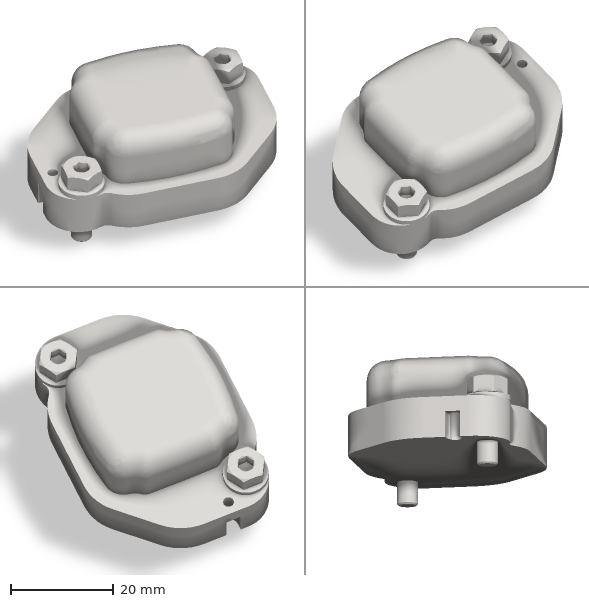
import cadquery as cq
import math

LENGTH = 50.0
WIDTH = 36.0
BASE_HEIGHT = 8.1
SIDE_CORNER_R = 10.0
END_CORNER_R = 11.4
EAR_R = 6.75
EAR_X = 9.45
NOTCH_R = 2.0

BOLT_X = 11.8
BOLT_Y = 18.4
BOLT_PLACES = [(-BOLT_X, BOLT_Y), (BOLT_X, -BOLT_Y)]

DOME_TOP = 18.8
DOME_WIDTH = 29.9
DOME_LENGTH = 29.2
DOME_RIDGE = 0.15
DOME_SIDE_R = 55.0
DOME_CLEARANCE_R = 5.55
DOME_CORNER_R = 4.1
DOME_SHOULDER_R = 2.7
DOME_ROOF_R = 4.0

VENT_D = 2.1
VENT_X = 6.25
VENT_Y = -22.5
SLOT_WIDTH = 3.0
SLOT_HEIGHT = 5.1
SLOT_ROUND_Y = -23.55

SHANK_D = 4.1
SHANK_REACH = 4.6
SHANK_CHAMFER = 0.3
FLANGE_R = 4.5
FLANGE_RIM = 1.0
FLANGE_TOP_R = 3.5
FLANGE_HEIGHT = 1.25
HEAD_ACROSS_FLATS = 7.0
HEAD_TOP = 4.6
HEAD_FACE_R = 3.45
HEAD_CHAMFER_ANGLE = 30.0
SOCKET_ACROSS_FLATS = 3.0
SOCKET_MOUTH_R = 1.75
SOCKET_DEPTH = 2.5
SOCKET_TIP_ANGLE = 30.0

HEX_CORNER_RATIO = 2 / math.sqrt(3)


def step_toward(start, target, distance):
    """Point at the given distance from start in the direction of target."""
    ratio = distance / math.dist(start, target)
    return (start[0] + ratio * (target[0] - start[0]), start[1] + ratio * (target[1] - start[1]))


def notch_center(ear, corner):
    """Centre of the concave blend that touches both the ear and the side corner from outside."""
    to_ear = EAR_R + NOTCH_R
    to_corner = SIDE_CORNER_R + NOTCH_R
    spacing = math.dist(ear, corner)
    cosine = (to_ear**2 + spacing**2 - to_corner**2) / (2 * to_ear * spacing)
    angle = math.atan2(corner[1] - ear[1], corner[0] - ear[0]) - math.acos(cosine)
    return (ear[0] + to_ear * math.cos(angle), ear[1] + to_ear * math.sin(angle))


def turned(point, turn):
    """The point itself for turn 1, or turned 180 degrees about the origin for turn -1."""
    return (turn * point[0], turn * point[1])


def base_outline():
    """Closed outline of the base plate, clockwise, in two halves turned 180 degrees."""
    half_width = WIDTH / 2
    half_length = LENGTH / 2
    side_x = half_width - SIDE_CORNER_R
    end_y = half_length - END_CORNER_R
    side_y = end_y - side_x + math.sqrt(2) * (END_CORNER_R - SIDE_CORNER_R)

    corner = (-side_x, side_y)
    ear = (-EAR_X, half_length - EAR_R)
    notch = notch_center(ear, corner)
    corner_end = step_toward(corner, notch, SIDE_CORNER_R)
    ear_start = step_toward(ear, notch, EAR_R)
    slant = math.sqrt(0.5)
    slant_start = (slant * END_CORNER_R, end_y + slant * END_CORNER_R)
    slant_end = (side_x + slant * SIDE_CORNER_R, side_y + slant * SIDE_CORNER_R)

    outline = cq.Workplane("XY").moveTo(-half_width, -side_y)
    for turn in (1, -1):
        outline = (
            outline.lineTo(*turned((-half_width, side_y), turn))
            .radiusArc(turned(corner_end, turn), SIDE_CORNER_R)
            .radiusArc(turned(ear_start, turn), -NOTCH_R)
            .radiusArc(turned((-EAR_X, half_length), turn), EAR_R)
            .lineTo(*turned((0, half_length), turn))
            .radiusArc(turned(slant_start, turn), END_CORNER_R)
            .lineTo(*turned(slant_end, turn))
            .radiusArc(turned((half_width, side_y), turn), SIDE_CORNER_R)
        )
    return outline.close()


def upright_edges(body, x_min, x_max):
    """Vertical edges whose distance from the YZ plane lies between the two limits."""
    edges = body.edges("|Z").vals()
    return body.newObject([edge for edge in edges if x_min < abs(edge.Center().x) < x_max])


def make_dome():
    half_width = DOME_WIDTH / 2
    ridge_y = DOME_LENGTH / 2
    end_y = ridge_y - DOME_RIDGE
    dome = (
        cq.Workplane("XY")
        .polyline([
            (-half_width, -end_y),
            (0, -ridge_y),
            (half_width, -end_y),
            (half_width, end_y),
            (0, ridge_y),
            (-half_width, end_y),
        ])
        .close()
        .extrude(DOME_TOP)
    )
    bulge_x = DOME_SIDE_R - half_width
    for x in (-bulge_x, bulge_x):
        dome = dome.intersect(cq.Workplane("XY").center(x, 0).circle(DOME_SIDE_R).extrude(DOME_TOP))
    scallops = (
        cq.Workplane("XY")
        .rect(2 * BOLT_X, 2 * BOLT_Y, forConstruction=True)
        .vertices()
        .circle(DOME_CLEARANCE_R)
        .extrude(DOME_TOP)
    )
    dome = dome.cut(scallops)
    shoulder_min = (BOLT_X - DOME_CLEARANCE_R) / 2
    shoulder_max = BOLT_X - DOME_CLEARANCE_R / 2
    dome = upright_edges(dome, shoulder_max, half_width).fillet(DOME_CORNER_R)
    dome = upright_edges(dome, shoulder_min, shoulder_max).fillet(DOME_SHOULDER_R)
    return dome.faces(">Z").edges().fillet(DOME_ROOF_R)


def make_vent():
    """Vent hole and the round-ended slot that opens through the -Y end face."""
    hole = cq.Workplane("XY").center(VENT_X, VENT_Y).circle(VENT_D / 2).extrude(BASE_HEIGHT)
    slot = (
        cq.Workplane("XY")
        .moveTo(VENT_X - SLOT_WIDTH / 2, -LENGTH / 2)
        .lineTo(VENT_X - SLOT_WIDTH / 2, SLOT_ROUND_Y)
        .threePointArc((VENT_X, SLOT_ROUND_Y + SLOT_WIDTH / 2), (VENT_X + SLOT_WIDTH / 2, SLOT_ROUND_Y))
        .lineTo(VENT_X + SLOT_WIDTH / 2, -LENGTH / 2)
        .close()
        .extrude(SLOT_HEIGHT)
    )
    return hole.union(slot)


def make_housing():
    base = base_outline().extrude(BASE_HEIGHT)
    bolt_holes = cq.Workplane("XY").pushPoints(BOLT_PLACES).circle(SHANK_D / 2).extrude(BASE_HEIGHT)
    return base.union(make_dome()).cut(bolt_holes).cut(make_vent())


def revolve_profile(points):
    """Turn a profile of (radius, height) points around the Z axis."""
    return cq.Workplane("XZ").polyline(points).close().revolve(360, (0, 0), (0, 1))


def make_shank_and_flange():
    shank_r = SHANK_D / 2
    bottom = -BASE_HEIGHT - SHANK_REACH
    return revolve_profile([
        (0, bottom),
        (shank_r - SHANK_CHAMFER, bottom),
        (shank_r, bottom + SHANK_CHAMFER),
        (shank_r, 0),
        (FLANGE_R, 0),
        (FLANGE_R, FLANGE_RIM),
        (FLANGE_TOP_R, FLANGE_HEIGHT),
        (0, FLANGE_HEIGHT),
    ])


def make_head():
    """Hexagon head with its corners chamfered to a cone at the top."""
    corner_r = HEAD_ACROSS_FLATS * HEX_CORNER_RATIO / 2
    chamfer_drop = (corner_r - HEAD_FACE_R) * math.tan(math.radians(HEAD_CHAMFER_ANGLE))
    hexagon = (
        cq.Workplane("XY")
        .workplane(offset=FLANGE_HEIGHT)
        .polygon(6, 2 * corner_r)
        .extrude(HEAD_TOP - FLANGE_HEIGHT)
    )
    chamfer_envelope = revolve_profile([
        (0, 0),
        (corner_r, 0),
        (corner_r, HEAD_TOP - chamfer_drop),
        (HEAD_FACE_R, HEAD_TOP),
        (0, HEAD_TOP),
    ])
    return hexagon.intersect(chamfer_envelope)


def make_socket():
    """Hexagon socket with a countersunk mouth and a conical floor."""
    flat_r = SOCKET_ACROSS_FLATS / 2
    floor = HEAD_TOP - SOCKET_DEPTH
    mouth_depth = SOCKET_MOUTH_R - flat_r
    hexagon = (
        cq.Workplane("XY")
        .workplane(offset=floor)
        .polygon(6, SOCKET_ACROSS_FLATS * HEX_CORNER_RATIO)
        .extrude(SOCKET_DEPTH)
    )
    mouth = revolve_profile([
        (0, HEAD_TOP - mouth_depth),
        (flat_r, HEAD_TOP - mouth_depth),
        (SOCKET_MOUTH_R, HEAD_TOP),
        (0, HEAD_TOP),
    ])
    tip = floor - flat_r * math.tan(math.radians(SOCKET_TIP_ANGLE))
    cone = revolve_profile([(0, tip), (flat_r, floor), (0, floor)])
    return hexagon.union(mouth).union(cone)


def make_bolt():
    """Flange bolt on the Z axis, with the flange's underside at Z = 0."""
    return make_shank_and_flange().union(make_head()).cut(make_socket())


housing = make_housing()
bolts = []
for bolt_x, bolt_y in BOLT_PLACES:
    bolts.append(make_bolt().translate((bolt_x, bolt_y, BASE_HEIGHT)))

result = cq.Compound.makeCompound([housing.val(), *[bolt.val() for bolt in bolts]])